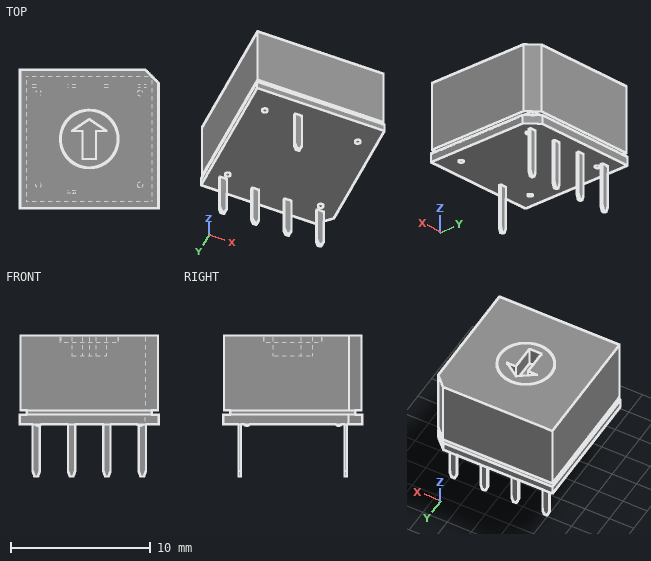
import cadquery as cq

body_height = 5.4
neck_height = 0.3
base_height = 0.7
pin_length = 3.75

body_side = 9.9
neck_side = 9.0
base_side = 10.0
base_corner_cut = 1.0

rotor_diameter = 4.1
rotor_hole_diameter = 4.2
rotor_gap_depth = 0.5

arrow_reach = 1.425
arrow_shoulder_y = 0.575
arrow_head_width = 2.5
arrow_shaft_width = 1.0
arrow_depth = 1.5

pin_pitch = 2.54
pin_row_y = 1.5 * pin_pitch
pin_width = 0.54
pin_thickness = 0.2
pin_tip_width = 0.25
pin_tip_height = 0.4

standoff_x = 3.65
standoff_y = 3.3
standoff_diameter = 0.4
standoff_height = 0.1

body_corner_cut = base_corner_cut - (base_side - body_side)

base_top = base_height
neck_top = base_top + neck_height
body_top = neck_top + body_height


def square_block(side, bottom, height):
    return cq.Workplane("XY").workplane(offset=bottom).rect(side, side).extrude(height)


def cut_corner(block, leg):
    return block.edges("|Z").edges(">(1, 1, 0)").chamfer(leg)


def make_housing():
    base = cut_corner(square_block(base_side, 0, base_height), base_corner_cut)
    neck = square_block(neck_side, base_top, neck_height)
    body = cut_corner(square_block(body_side, neck_top, body_height), body_corner_cut)
    return base.union(neck).union(body)


def make_rotor_gap():
    """Narrow ring-shaped gap between the rotor and its hole."""
    return (
        cq.Workplane("XY")
        .workplane(offset=body_top - rotor_gap_depth)
        .circle(rotor_hole_diameter / 2)
        .circle(rotor_diameter / 2)
        .extrude(rotor_gap_depth)
    )


def make_arrow_slot():
    half_head = arrow_head_width / 2
    half_shaft = arrow_shaft_width / 2
    outline = [
        (0, arrow_reach),
        (half_head, arrow_shoulder_y),
        (half_shaft, arrow_shoulder_y),
        (half_shaft, -arrow_reach),
        (-half_shaft, -arrow_reach),
        (-half_shaft, arrow_shoulder_y),
        (-half_head, arrow_shoulder_y),
    ]
    return (
        cq.Workplane("XY")
        .workplane(offset=body_top - arrow_depth)
        .polyline(outline)
        .close()
        .extrude(arrow_depth)
    )


def make_pin(x, y):
    half_width = pin_width / 2
    half_tip = pin_tip_width / 2
    taper_start = pin_tip_height - pin_length
    outline = [
        (-half_width, 0),
        (half_width, 0),
        (half_width, taper_start),
        (half_tip, -pin_length),
        (-half_tip, -pin_length),
        (-half_width, taper_start),
    ]
    blade = cq.Workplane("XZ").polyline(outline).close().extrude(pin_thickness / 2, both=True)
    return blade.translate((x, y, 0))


def make_standoff(x, y):
    """Spherical cap hanging from the underside of the base plate."""
    radius = standoff_diameter / 2
    sphere_radius = (radius**2 + standoff_height**2) / (2 * standoff_height)
    sphere = cq.Workplane("XY").sphere(sphere_radius)
    return sphere.translate((x, y, sphere_radius - standoff_height))


result = make_housing().cut(make_rotor_gap()).cut(make_arrow_slot())

for step in (-1.5, -0.5, 0.5, 1.5):
    result = result.union(make_pin(step * pin_pitch, pin_row_y))
result = result.union(make_pin(-0.5 * pin_pitch, -pin_row_y))

for side_x in (-1, 1):
    for side_y in (-1, 1):
        result = result.union(make_standoff(side_x * standoff_x, side_y * standoff_y))